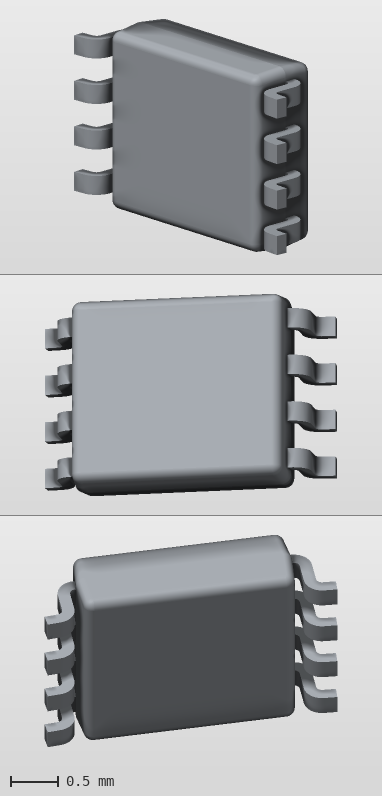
import cadquery as cq
import math

OVERALL_LENGTH = 3.1
STANDOFF = 0.1

BODY_LENGTH = 2.3
BODY_DEPTH = 0.8
BODY_HEIGHT = 2.0
DRAFT_ANGLE = 5.0
EDGE_RADIUS = 0.1

LEADS_PER_SIDE = 4
LEAD_PITCH = 0.5
LEAD_WIDTH = 0.208
LEAD_THICKNESS = 0.13
BEND_INNER_RADIUS = 0.062
SHOULDER_LENGTH = 0.01
FOOT_TILT = 4.0

HALF_DEPTH = BODY_DEPTH / 2
HALF_LENGTH = BODY_LENGTH / 2
BEND_OUTER_RADIUS = BEND_INNER_RADIUS + LEAD_THICKNESS
UPPER_BEND_MIDDLE = 135


def make_drafted_block(side):
    """Block from the parting plane Y = 0 to one face of the body (side is +1 or -1), narrowing outwards."""
    return (
        cq.Workplane("XZ")
        .rect(BODY_LENGTH, BODY_HEIGHT)
        .extrude(-side * HALF_DEPTH, taper=DRAFT_ANGLE)
    )


def make_body():
    """Moulded body drafted both ways from its parting line, rounded on every edge but that line."""
    body = make_drafted_block(1).union(make_drafted_block(-1))
    corner_edges = body.edges("not(|X or |Z)")
    face_edges = body.faces("<Y or >Y").edges()
    return corner_edges.add(face_edges).fillet(EDGE_RADIUS)


def point_at(centre, radius, angle):
    """Point at a radius and an angle in degrees from a centre, counter-clockwise from +X."""
    turn = math.radians(angle)
    return (centre[0] + radius * math.cos(turn), centre[1] + radius * math.sin(turn))


def make_left_lead(z_centre):
    """Gull-wing lead on the -X side, ending flush on the drafted wall just above the parting plane."""
    tilt = math.radians(FOOT_TILT)
    wall_setback = LEAD_THICKNESS * math.tan(math.radians(DRAFT_ANGLE))

    upper_centre = (-HALF_LENGTH - SHOULDER_LENGTH, -BEND_INNER_RADIUS)
    shank_inner_x = upper_centre[0] - BEND_INNER_RADIUS
    shank_outer_x = shank_inner_x - LEAD_THICKNESS

    toe_top = (-OVERALL_LENGTH / 2, -HALF_DEPTH - STANDOFF + LEAD_THICKNESS * math.cos(tilt))
    toe_bottom = (toe_top[0] + LEAD_THICKNESS * math.sin(tilt), -HALF_DEPTH - STANDOFF)

    foot_angle = FOOT_TILT - 90
    lower_x = shank_outer_x - BEND_INNER_RADIUS
    heel_x = lower_x + BEND_INNER_RADIUS * math.sin(tilt)
    heel_y = toe_top[1] + (heel_x - toe_top[0]) * math.tan(tilt)
    lower_centre = (lower_x, heel_y + BEND_INNER_RADIUS * math.cos(tilt))

    profile = (
        cq.Workplane("XY", origin=(0, 0, z_centre - LEAD_WIDTH / 2))
        .moveTo(-HALF_LENGTH, 0)
        .lineTo(upper_centre[0], 0)
        .threePointArc(
            point_at(upper_centre, BEND_INNER_RADIUS, UPPER_BEND_MIDDLE),
            (shank_inner_x, upper_centre[1]),
        )
        .lineTo(shank_inner_x, lower_centre[1])
        .threePointArc(
            point_at(lower_centre, BEND_OUTER_RADIUS, foot_angle / 2),
            point_at(lower_centre, BEND_OUTER_RADIUS, foot_angle),
        )
        .lineTo(*toe_bottom)
        .lineTo(*toe_top)
        .lineTo(heel_x, heel_y)
        .threePointArc(
            point_at(lower_centre, BEND_INNER_RADIUS, foot_angle / 2),
            (shank_outer_x, lower_centre[1]),
        )
        .lineTo(shank_outer_x, upper_centre[1])
        .threePointArc(
            point_at(upper_centre, BEND_OUTER_RADIUS, UPPER_BEND_MIDDLE),
            (upper_centre[0], LEAD_THICKNESS),
        )
        .lineTo(-HALF_LENGTH + wall_setback, LEAD_THICKNESS)
        .close()
    )
    return profile.extrude(LEAD_WIDTH)


body = make_body()

leads = []
for row in range(LEADS_PER_SIDE):
    left_lead = make_left_lead((row - (LEADS_PER_SIDE - 1) / 2) * LEAD_PITCH)
    right_lead = left_lead.mirror("YZ")
    leads.extend([left_lead.val(), right_lead.val()])

result = cq.Compound.makeCompound([body.val(), *leads])